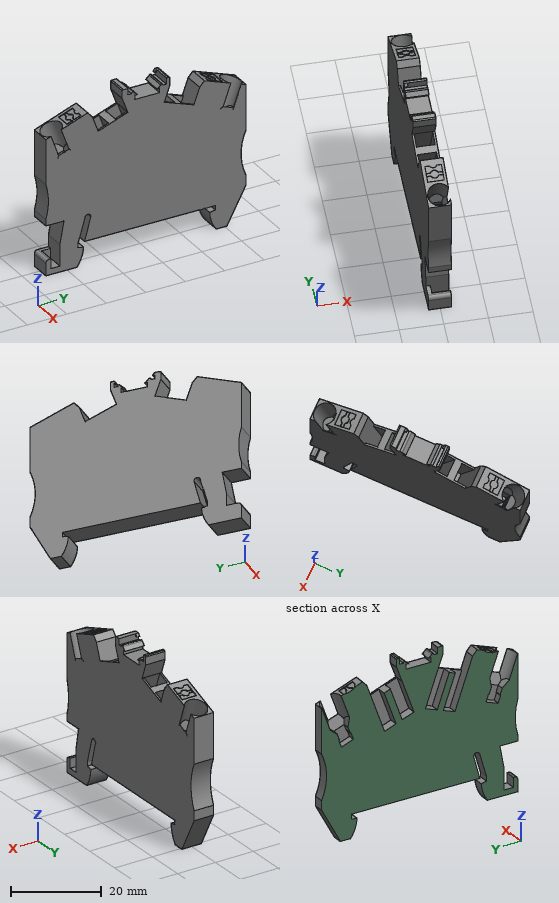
import cadquery as cq
import math

THICKNESS = 5.15
LENGTH = 50.8
HEIGHT = 41.5
HALF_LENGTH = LENGTH / 2

TILT = math.radians(20)
EAVE_Z = 34.3
RIDGE_Y = 14.8
SHOULDER_Y = 13.6
SHOULDER_Z = 36.85
NECK_Y = 4.63
NECK_Z = 35.52
SHOULDER_DEPTH = 4.3
RIDGE_Z = EAVE_Z + (HALF_LENGTH - RIDGE_Y) * math.tan(TILT)
DECK_Y = SHOULDER_Y - SHOULDER_DEPTH * math.sin(TILT)
DECK_Z = SHOULDER_Z - SHOULDER_DEPTH * math.cos(TILT)

HEAD_Y = 6.06
HEAD_KNEE_Z = 39.4
ARM_BEVEL_Y = 0.35
ARM_BEVEL_Z = 0.15
ARM_INNER_Y = {1: 5.17, -1: 4.55}
LEDGE_Z = 39.94
LEDGE_INNER_Y = {1: 4.28, -1: 3.7}
BEAD_INNER_Y = {1: 3.73, -1: 3.04}
BEAD_Z = 40.3
TOOTH_Y = {1: 2.81, -1: 2.18}
TOOTH_Z = 39.33
CHANNEL_Y = {1: 3.46, -1: 2.83}
CHANNEL_Z = 38.27
LIP_REACH = 0.51
LIP_Z = 40.88
LIP_LENGTH = 0.8

RECESS_TOP_Z = 23.0
REAR_RECESS_BOTTOM_Z = 11.5
REAR_RECESS_DEPTH = 1.27
FRONT_RECESS_BOTTOM_Z = 14.2
FRONT_RECESS_DEPTH = 0.65

BASE_Z = 5.98
HOOK_ROOF_Z = 4.9
HOOK_TIP_Z = 4.64
HOOK_MID_Z = 2.4
REAR_LEG_Z = 9.08
REAR_TOE_Y = 20.5
REAR_HEEL_Y = 17.83
REAR_HOOK_MID_Y = 16.55
REAR_HOOK_TIP_Y = 16.15
REAR_HOOK_ROOT_Y = 17.57
FRONT_HEEL_Y = -17.5
FRONT_HOOK_MID_Y = -16.25
FRONT_HOOK_TIP_Y = -15.8
FRONT_HOOK_ROOT_Y = -17.22
SLOT_INNER_Y = -15.57
SLOT_TOP_Z = 12.6
SLOT_SHOULDER_Z = 11.85
SLOT_TOP_INNER_Y = -14.0
SLOT_TOP_OUTER_Y = -15.5
NOTCH_TOP_Z = 12.57
NOTCH_TOP_Y = -20.8
NOTCH_KNEE_Y = -21.83
NOTCH_KNEE_Z = 6.95
FOOT_TOP_Z = 3.98
FOOT_ROUND = 0.85
FOOT_SLOT_WALL = 1.0
FOOT_SLOT_LIP = 1.3
FOOT_SLOT_FLOOR_Z = 1.5

ENTRY_X = 0.35
ENTRY_Y = 22.8
ENTRY_RADIUS = 2.62
FUNNEL_TOP_DEPTH = 5.2
FUNNEL_DEPTH = 8.4
FUNNEL_END_ANGLE = math.radians(30)
FUNNEL_SIDE_ANGLE = math.radians(20)
THROAT_X = 0.07
THROAT_WIDTH = 3.06
THROAT_LENGTH = 2.85
THROAT_DEPTH = 10.1
CHAMBER_LENGTH = 3.2
CHAMBER_DEPTH = 12.0

POCKET_WIDTH = 4.2
POCKET_DEPTH = 9.0
OUTER_POCKET_LENGTH = 3.05
DECK_BRIDGE = 1.8

SYMBOL_X = 0.09
SYMBOL_Y = 17.95
SYMBOL_WIDTH = 3.7
SYMBOL_LENGTH = 3.72
SYMBOL_DEPTH = 0.12
BAND_OFFSET = 0.13
BAND_WIDTH = 0.7
SYMBOL_RADIUS = 0.92
NOTCH_CENTRE_OFFSET = 2.4
GROOVE_DEPTH = 0.35


def roof_frame(y, z):
    """Plane on the +Y roof: local x along X, local y down the slope, normal out of the roof."""
    return cq.Plane(origin=(0, y, z), xDir=(1, 0, 0), normal=(0, math.sin(TILT), math.cos(TILT)))


def shoulder_frame(y):
    return roof_frame(y, EAVE_Z + (HALF_LENGTH - y) * math.tan(TILT))


def block(frame, x, y, width, length, top_depth, bottom_depth):
    """Box below a roof plane, centred at local (x, y), between two depths."""
    return (
        cq.Workplane(frame).workplane(offset=-bottom_depth).center(x, y)
        .rect(width, length).extrude(bottom_depth - top_depth)
    )


def arm_steps(side):
    """Points from the top of one arm down to its ledge, then bead, tooth and channel."""
    top = [
        (side * HEAD_Y, HEAD_KNEE_Z),
        (side * HEAD_Y, HEIGHT - ARM_BEVEL_Z),
        (side * (HEAD_Y - ARM_BEVEL_Y), HEIGHT),
        (side * ARM_INNER_Y[side], HEIGHT),
        (side * ARM_INNER_Y[side], LEDGE_Z),
        (side * LEDGE_INNER_Y[side], LEDGE_Z),
    ]
    bead_mid = (side * (LEDGE_INNER_Y[side] + BEAD_INNER_Y[side]) / 2, BEAD_Z)
    bead_end = (side * BEAD_INNER_Y[side], (LEDGE_Z + BEAD_Z) / 2)
    bottom = [
        (side * TOOTH_Y[side], TOOTH_Z),
        (side * CHANNEL_Y[side], TOOTH_Z),
        (side * CHANNEL_Y[side], CHANNEL_Z),
    ]
    return top, bead_mid, bead_end, bottom


def roof_half(side):
    """Points from the eave of one end up to the neck of the marker head."""
    points = [
        (HALF_LENGTH, EAVE_Z),
        (RIDGE_Y, RIDGE_Z),
        (SHOULDER_Y, SHOULDER_Z),
        (DECK_Y, DECK_Z),
        (NECK_Y, NECK_Z),
    ]
    return [(side * y, z) for y, z in points]


def make_body():
    top, bead_mid, bead_end, bottom = arm_steps(1)
    outline = cq.Workplane("YZ").polyline(roof_half(1) + top)
    outline = outline.threePointArc(bead_mid, bead_end)
    for point in bottom:
        outline = outline.lineTo(*point)

    top, bead_mid, bead_end, bottom = arm_steps(-1)
    for point in reversed(bottom):
        outline = outline.lineTo(*point)
    outline = outline.lineTo(*bead_end).threePointArc(bead_mid, top[-1])
    for point in top[-2::-1] + roof_half(-1)[::-1]:
        outline = outline.lineTo(*point)

    front_mid_z = (RECESS_TOP_Z + FRONT_RECESS_BOTTOM_Z) / 2
    round_offset = FOOT_ROUND * (1 - math.sqrt(0.5))
    outline = (
        outline.lineTo(-HALF_LENGTH, RECESS_TOP_Z)
        .threePointArc((-HALF_LENGTH + FRONT_RECESS_DEPTH, front_mid_z),
                       (-HALF_LENGTH, FRONT_RECESS_BOTTOM_Z))
        .lineTo(-HALF_LENGTH, NOTCH_TOP_Z)
        .lineTo(NOTCH_TOP_Y, NOTCH_TOP_Z)
        .lineTo(NOTCH_KNEE_Y, NOTCH_KNEE_Z)
        .lineTo(NOTCH_KNEE_Y, FOOT_TOP_Z)
        .lineTo(-HALF_LENGTH + FOOT_ROUND, FOOT_TOP_Z)
        .threePointArc((-HALF_LENGTH + round_offset, FOOT_TOP_Z - round_offset),
                       (-HALF_LENGTH, FOOT_TOP_Z - FOOT_ROUND))
        .lineTo(-HALF_LENGTH, 0)
    )

    outline = (
        outline.lineTo(FRONT_HEEL_Y, 0)
        .threePointArc((FRONT_HOOK_MID_Y, HOOK_MID_Z), (FRONT_HOOK_TIP_Y, HOOK_TIP_Z))
        .lineTo(FRONT_HOOK_ROOT_Y, HOOK_ROOF_Z)
        .lineTo(FRONT_HOOK_ROOT_Y, BASE_Z)
        .lineTo(SLOT_TOP_OUTER_Y, SLOT_SHOULDER_Z)
        .threePointArc(((SLOT_TOP_OUTER_Y + SLOT_TOP_INNER_Y) / 2, SLOT_TOP_Z),
                       (SLOT_TOP_INNER_Y, SLOT_SHOULDER_Z))
        .lineTo(SLOT_INNER_Y, BASE_Z)
        .lineTo(REAR_HOOK_ROOT_Y, BASE_Z)
        .lineTo(REAR_HOOK_ROOT_Y, HOOK_ROOF_Z)
        .lineTo(REAR_HOOK_TIP_Y, HOOK_TIP_Z)
        .threePointArc((REAR_HOOK_MID_Y, HOOK_MID_Z), (REAR_HEEL_Y, 0))
        .lineTo(REAR_TOE_Y, 0)
    )

    rear_mid_z = (RECESS_TOP_Z + REAR_RECESS_BOTTOM_Z) / 2
    outline = (
        outline.lineTo(HALF_LENGTH, REAR_LEG_Z)
        .lineTo(HALF_LENGTH, REAR_RECESS_BOTTOM_Z)
        .threePointArc((HALF_LENGTH - REAR_RECESS_DEPTH, rear_mid_z), (HALF_LENGTH, RECESS_TOP_Z))
    )
    return outline.close().extrude(THICKNESS / 2, both=True)


def make_lip(side):
    """Wedge-shaped retaining lip at the -X end of one arm."""
    wall_y = side * ARM_INNER_Y[side]
    wedge = [(wall_y, HEIGHT), (wall_y - side * LIP_REACH, LIP_Z), (wall_y, LIP_Z)]
    return cq.Workplane("YZ").workplane(offset=-THICKNESS / 2).polyline(wedge).close().extrude(LIP_LENGTH)


def make_foot_slot():
    """Screwdriver slot in the release foot, open at the top and on the +X side."""
    lip_y = -HALF_LENGTH + FOOT_SLOT_LIP
    return cq.Workplane("XY").box(
        THICKNESS - FOOT_SLOT_WALL,
        NOTCH_KNEE_Y - lip_y,
        FOOT_TOP_Z - FOOT_SLOT_FLOOR_Z,
        centered=False,
    ).translate((-THICKNESS / 2 + FOOT_SLOT_WALL, lip_y, FOOT_SLOT_FLOOR_Z))


def make_wire_entry():
    """Round entry, tapered funnel, rectangular throat and contact chamber on the +Y side."""
    frame = shoulder_frame(ENTRY_Y)
    taper_height = FUNNEL_DEPTH - FUNNEL_TOP_DEPTH
    mouth_width = THROAT_WIDTH + 2 * taper_height * math.tan(FUNNEL_SIDE_ANGLE)
    mouth_length = THROAT_LENGTH + 2 * taper_height * math.tan(FUNNEL_END_ANGLE)
    bore_start = cq.Workplane(frame).center(ENTRY_X, 0)
    round_entry = bore_start.circle(ENTRY_RADIUS).extrude(-FUNNEL_TOP_DEPTH)
    full_bore = bore_start.circle(ENTRY_RADIUS).extrude(-FUNNEL_DEPTH)
    funnel = (
        cq.Workplane(frame).workplane(offset=-FUNNEL_DEPTH).center(THROAT_X, 0)
        .rect(THROAT_WIDTH, THROAT_LENGTH)
        .workplane(offset=taper_height).rect(mouth_width, mouth_length)
        .loft()
        .intersect(full_bore)
    )
    throat = block(frame, THROAT_X, 0, THROAT_WIDTH, THROAT_LENGTH, FUNNEL_DEPTH, THROAT_DEPTH)
    chamber = block(frame, THROAT_X, 0, THROAT_WIDTH, CHAMBER_LENGTH, THROAT_DEPTH, CHAMBER_DEPTH)
    return round_entry.union(funnel).union(throat).union(chamber)


def make_deck_pockets():
    """Two deep pockets in the +Y deck, separated by a bridge; the inner one ends at the neck."""
    frame = roof_frame(DECK_Y, DECK_Z)
    deck_length = (DECK_Y - NECK_Y) / math.cos(TILT)
    inner_length = deck_length - OUTER_POCKET_LENGTH - DECK_BRIDGE
    outer = block(frame, 0, -OUTER_POCKET_LENGTH / 2, POCKET_WIDTH, OUTER_POCKET_LENGTH, 0, POCKET_DEPTH)
    inner_y = inner_length / 2 - deck_length
    inner = block(frame, 0, inner_y, POCKET_WIDTH, inner_length, 0, POCKET_DEPTH)
    return outer.union(inner)


def make_symbol():
    """Shallow square notched by a round edge, with a deeper cross band and round eye."""
    frame = shoulder_frame(SYMBOL_Y)
    square = block(frame, SYMBOL_X, 0, SYMBOL_WIDTH, SYMBOL_LENGTH, 0, SYMBOL_DEPTH)
    band = block(frame, SYMBOL_X, BAND_OFFSET, SYMBOL_WIDTH, BAND_WIDTH, 0, GROOVE_DEPTH)
    eye_start = cq.Workplane(frame).center(SYMBOL_X, BAND_OFFSET)
    eye = eye_start.circle(SYMBOL_RADIUS).extrude(-GROOVE_DEPTH)
    notch = eye_start.center(0, -NOTCH_CENTRE_OFFSET).circle(SYMBOL_RADIUS).extrude(-SYMBOL_DEPTH)
    return square.cut(notch).union(band).union(eye)


result = make_body()
for arm_side in (1, -1):
    result = result.union(make_lip(arm_side))
result = result.cut(make_foot_slot())
for cutter in (make_wire_entry(), make_deck_pockets(), make_symbol()):
    result = result.cut(cutter).cut(cutter.mirror("XZ"))